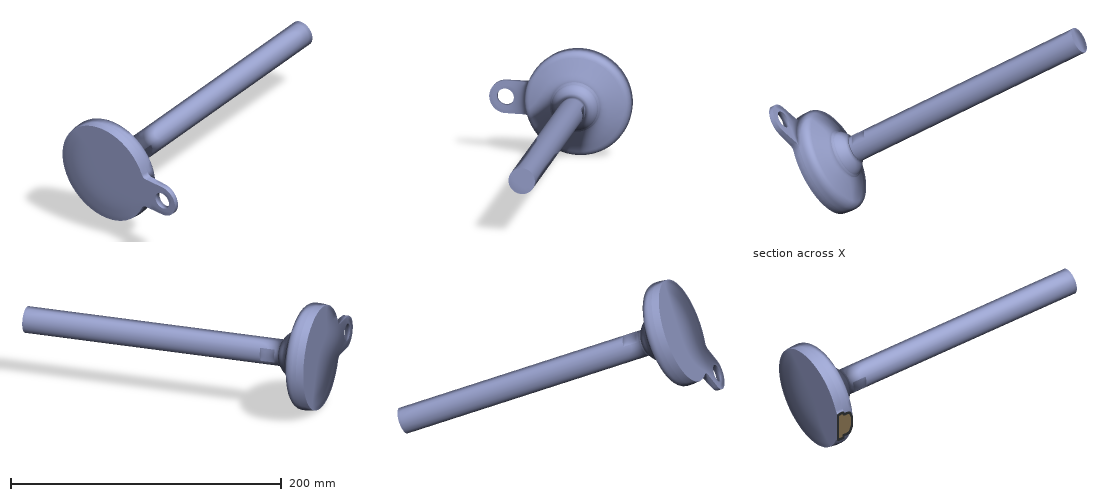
import cadquery as cq
import math

OVERALL_LENGTH = 231.5

PAD_RADIUS = 40.0
PAD_BOTTOM_RADIUS = 39.4
SKIRT_HEIGHT = 5.5
RIM_HEIGHT = 9.0
SHOULDER_RADIUS = 6.5
PAD_NECK_RADIUS = 19.0
PAD_NECK_HEIGHT = 21.5
PAD_HEIGHT = 23.0

LUG_END_X = 68.0
LUG_RADIUS = 12.3
LUG_HOLE_DIAMETER = 13.0
LUG_CENTER_X = LUG_END_X - LUG_RADIUS
LUG_ROOT_FILLET = 4.5
LUG_SLOPE_START_X = 37.0
LUG_TIP_HEIGHT = 3.5

BALL_RADIUS = 20.4
BALL_CENTER_HEIGHT = 12.5


def ball_radius_at(height):
    return math.sqrt(BALL_RADIUS**2 - (height - BALL_CENTER_HEIGHT) ** 2)


def ball_height_at(radius):
    return BALL_CENTER_HEIGHT + math.sqrt(BALL_RADIUS**2 - radius**2)


STEM_RADIUS = 10.0
ROD_END_CHAMFER = 0.7
FLAT_START = 33.5
FLAT_LENGTH = 11.3
FLAT_OFFSET = 8.5


def spin(outline):
    """Revolve a closed XY outline about the Y axis."""
    return outline.close().revolve(360, (0, 0, 0), (0, 1, 0))


def make_skirt_with_lug():
    """Flared lower disc blended into the lug, whose top slopes down to its tip."""
    skirt = spin(
        cq.Workplane("XY")
        .lineTo(PAD_BOTTOM_RADIUS, 0)
        .lineTo(PAD_RADIUS, SKIRT_HEIGHT)
        .lineTo(0, SKIRT_HEIGHT)
    )
    lug = (
        cq.Workplane("XZ")
        .moveTo(0, -LUG_RADIUS)
        .lineTo(LUG_CENTER_X, -LUG_RADIUS)
        .threePointArc((LUG_END_X, 0), (LUG_CENTER_X, LUG_RADIUS))
        .lineTo(0, LUG_RADIUS)
        .close()
        .extrude(-SKIRT_HEIGHT)
    )
    root_x = math.sqrt(PAD_RADIUS**2 - LUG_RADIUS**2)
    near_root = 2.3
    root_corners = cq.selectors.BoxSelector(
        (root_x - near_root, 0, -LUG_RADIUS - near_root),
        (root_x + near_root, SKIRT_HEIGHT, LUG_RADIUS + near_root),
    )
    body = skirt.union(lug).edges(root_corners).edges("not(#Y)").fillet(LUG_ROOT_FILLET)

    above_slope = (
        cq.Workplane("XY")
        .moveTo(LUG_SLOPE_START_X, SKIRT_HEIGHT)
        .lineTo(LUG_END_X, LUG_TIP_HEIGHT)
        .lineTo(LUG_END_X, SKIRT_HEIGHT)
        .close()
        .extrude(2 * LUG_RADIUS, both=True)
    )
    hole = (
        cq.Workplane("XZ")
        .center(LUG_CENTER_X, 0)
        .circle(LUG_HOLE_DIAMETER / 2)
        .extrude(-SKIRT_HEIGHT)
    )
    return body.cut(above_slope).cut(hole)


def make_dome():
    """Upper half of the ball."""
    arc_middle = BALL_RADIUS * math.sqrt(0.5)
    return spin(
        cq.Workplane("XY")
        .moveTo(0, BALL_CENTER_HEIGHT)
        .lineTo(BALL_RADIUS, BALL_CENTER_HEIGHT)
        .threePointArc((arc_middle, BALL_CENTER_HEIGHT + arc_middle), (0, BALL_CENTER_HEIGHT + BALL_RADIUS))
    )


def make_pad():
    """Round foot with a rounded shoulder, a sloping roof, a narrow lip and a ball socket."""
    center_x = PAD_RADIUS - SHOULDER_RADIUS
    neck_dx = PAD_NECK_RADIUS - center_x
    neck_dy = PAD_NECK_HEIGHT - RIM_HEIGHT
    tangent_angle = math.atan2(neck_dy, neck_dx) - math.acos(SHOULDER_RADIUS / math.hypot(neck_dx, neck_dy))

    def shoulder_point(angle):
        return (
            center_x + SHOULDER_RADIUS * math.cos(angle),
            RIM_HEIGHT + SHOULDER_RADIUS * math.sin(angle),
        )

    roof = spin(
        cq.Workplane("XY")
        .moveTo(0, SKIRT_HEIGHT)
        .lineTo(PAD_RADIUS, SKIRT_HEIGHT)
        .lineTo(PAD_RADIUS, RIM_HEIGHT)
        .threePointArc(shoulder_point(tangent_angle / 2), shoulder_point(tangent_angle))
        .lineTo(PAD_NECK_RADIUS, PAD_NECK_HEIGHT)
        .lineTo(ball_radius_at(PAD_HEIGHT), PAD_HEIGHT)
        .lineTo(0, PAD_HEIGHT)
    )
    return make_skirt_with_lug().union(roof).cut(make_dome())


def make_stem():
    """Rod with a chamfered lower end, standing on the dome, and two wrench flats."""
    rod_end_radius = STEM_RADIUS - ROD_END_CHAMFER
    rod_end_height = ball_height_at(rod_end_radius)
    rod = spin(
        cq.Workplane("XY")
        .moveTo(0, BALL_CENTER_HEIGHT)
        .lineTo(rod_end_radius, BALL_CENTER_HEIGHT)
        .lineTo(rod_end_radius, rod_end_height)
        .lineTo(STEM_RADIUS, rod_end_height + ROD_END_CHAMFER)
        .lineTo(STEM_RADIUS, OVERALL_LENGTH)
        .lineTo(0, OVERALL_LENGTH)
    )
    stem = rod.union(make_dome())
    for side in (-1, 1):
        cut_center = (side * (FLAT_OFFSET + STEM_RADIUS / 2), FLAT_START + FLAT_LENGTH / 2, 0)
        flat_cut = cq.Workplane("XY").box(STEM_RADIUS, FLAT_LENGTH, 2 * STEM_RADIUS).translate(cut_center)
        stem = stem.cut(flat_cut)
    return stem


pad = make_pad()
stem = make_stem()
result = cq.Compound.makeCompound([pad.val(), stem.val()])